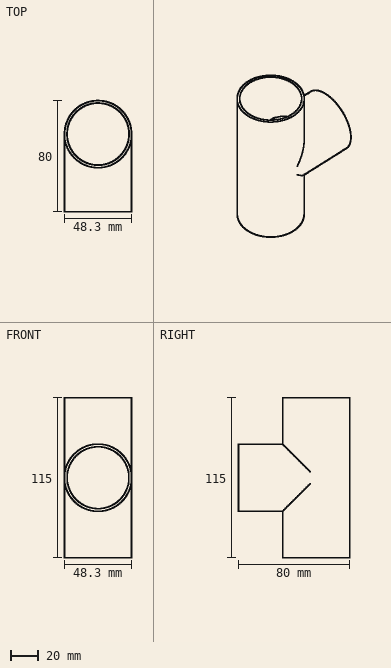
import cadquery as cq

outer_diameter = 48.3
wall_thickness = 2.0
run_length = 115.0
branch_reach = 55.9

bore_diameter = outer_diameter - 2 * wall_thickness


def tee_cylinders(diameter):
    """Return the run and branch cylinders of one diameter, joined at the origin."""
    run = cq.Workplane("XY").circle(diameter / 2).extrude(run_length / 2, both=True)
    branch = cq.Workplane("XZ").circle(diameter / 2).extrude(branch_reach)
    return run.union(branch)


result = tee_cylinders(outer_diameter).cut(tee_cylinders(bore_diameter))